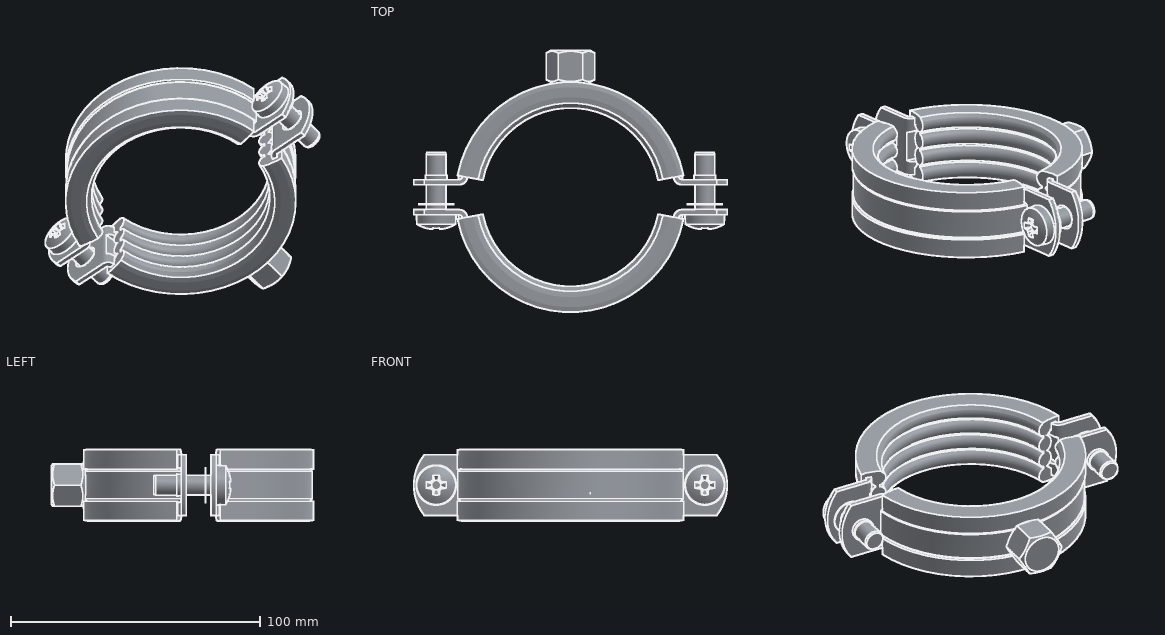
import cadquery as cq
import math


TOTAL_LENGTH = 125.9
STRAP_WIDTH = 24.4
STRAP_THICKNESS = 2.1
FLANGE_INNER_R = 42.0
FLANGE_OUTER_R = FLANGE_INNER_R + STRAP_THICKNESS

CHANNEL_RISE = 1.5
CHANNEL_ROOT_HALF_WIDTH = 7.0
HOLLOW_ROOT_HALF_WIDTH = 6.7
HOLLOW_FLOOR_HALF_WIDTH = 6.0

EAR_INNER_Y = 4.9
EAR_OUTER_Y = EAR_INNER_Y + STRAP_THICKNESS
EAR_STRAIGHT_X = 58.7
BEND_INNER_R = 1.5
BEND_OUTER_R = BEND_INNER_R + STRAP_THICKNESS

RUBBER_WIDTH = 29.0
RUBBER_OUTER_R = 46.2
RUBBER_END_ANGLE = 10.9
LIP_INNER_HALF_WIDTH = 6.4
BEVEL_DROP = 0.4
BEVEL_INNER_R = 40.2
BEAD_COUNT = 4
BEAD_PITCH = RUBBER_WIDTH / BEAD_COUNT
BEAD_TIP_R = 35.8
SHOULDER_R = 37.8
CHAMFERED_BEAD_REACH = 1.8
WEB_INNER_R = 38.3
WEB_OUTER_R = 40.0
GROOVE_HALF_WIDTH = 0.4
BACK_GROOVE_HALF_WIDTH = 2.0

SCREW_X = 53.9
SHANK_DIAMETER = 8.0
SHANK_TIP_DIAMETER = 7.4
SHANK_END_Y = 18.0
SHANK_CHAMFER_LENGTH = 0.9
HEAD_BASE_R = 8.0
HEAD_RIM_R = 7.8
HEAD_RIM_Y = -10.8
HEAD_TOP_Y = -13.1
RECESS_DEPTH = 2.3
RECESS_HALF_LENGTH = 4.7
RECESS_ARM_WIDTH = 3.0
RECESS_FLOOR_ARM_WIDTH = 1.3
RECESS_CORE_R = 2.5
RECESS_FLOOR_R = 1.9

COLLAR_DIAMETER = 9.0
COLLAR_BASE_DIAMETER = 8.5
COLLAR_HEIGHT = 1.8
ENTRY_DIAMETER = 9.8
ENTRY_DEPTH = 0.9

WASHER_DIAMETER = 14.0
WASHER_THICKNESS = 0.4
WASHER_Y = -2.8

NUT_ACROSS_FLATS = 17.0
NUT_ACROSS_CORNERS = NUT_ACROSS_FLATS / math.cos(math.radians(30))
NUT_BASE_Y = 45.3
NUT_TOP_Y = 59.0
NUT_TOP_CHAMFER_R = 7.7
NUT_BASE_CHAMFER_R = 6.5
NUT_CHAMFER_SLOPE = math.tan(math.radians(30))


def revolve_profile(profile):
    """Full turn of a closed profile about the vertical axis of its own plane."""
    return profile.close().revolve(360, (0, 0, 0), (0, 1, 0))


def above(y):
    """Block holding everything of the upper half beyond the given Y."""
    size = 2 * TOTAL_LENGTH
    return cq.Workplane("XY").box(size, size, size).translate((0, y + size / 2, 0))


def trapezoid_ring(root_r, root_half_width, tip_r, tip_half_width):
    """Ring about the pipe axis whose section narrows from root to tip."""
    section = [
        (root_r, -root_half_width),
        (tip_r, -tip_half_width),
        (tip_r, tip_half_width),
        (root_r, root_half_width),
    ]
    return revolve_profile(cq.Workplane("XZ").polyline(section))


def ear_plate():
    """Plate spanning both ears, with arc-shaped ends."""
    half_length = TOTAL_LENGTH / 2
    half_width = STRAP_WIDTH / 2
    return (
        cq.Workplane("XZ")
        .moveTo(-EAR_STRAIGHT_X, -half_width)
        .lineTo(EAR_STRAIGHT_X, -half_width)
        .threePointArc((half_length, 0), (EAR_STRAIGHT_X, half_width))
        .lineTo(-EAR_STRAIGHT_X, half_width)
        .threePointArc((-half_length, 0), (-EAR_STRAIGHT_X, -half_width))
        .close()
        .extrude(-STRAP_THICKNESS)
        .translate((0, EAR_INNER_Y, 0))
    )


def bend_edges(radius, y):
    """Selector for the two edges along Z where a cylinder meets the plane at Y = y."""
    x = math.sqrt(radius**2 - y**2)
    margin = 0.4

    def box_around(edge_x):
        low_corner = (edge_x - margin, y - margin, -STRAP_WIDTH)
        high_corner = (edge_x + margin, y + margin, STRAP_WIDTH)
        return cq.selectors.BoxSelector(low_corner, high_corner)

    return box_around(x) + box_around(-x)


def make_strap():
    bore = cq.Workplane("XY").circle(FLANGE_INNER_R).extrude(STRAP_WIDTH / 2, both=True)
    flanges = (
        cq.Workplane("XY")
        .circle(FLANGE_OUTER_R)
        .extrude(STRAP_WIDTH / 2, both=True)
        .intersect(above(EAR_INNER_Y))
    )
    strap = flanges.union(ear_plate()).cut(bore)
    strap = strap.edges(bend_edges(FLANGE_OUTER_R, EAR_OUTER_Y)).fillet(BEND_INNER_R)
    strap = strap.edges(bend_edges(FLANGE_INNER_R, EAR_INNER_Y)).fillet(BEND_OUTER_R)

    raised_band = trapezoid_ring(
        FLANGE_OUTER_R,
        CHANNEL_ROOT_HALF_WIDTH,
        FLANGE_OUTER_R + CHANNEL_RISE,
        CHANNEL_ROOT_HALF_WIDTH - CHANNEL_RISE,
    )
    hollow = trapezoid_ring(
        FLANGE_INNER_R,
        HOLLOW_ROOT_HALF_WIDTH,
        FLANGE_INNER_R + CHANNEL_RISE,
        HOLLOW_FLOOR_HALF_WIDTH,
    )
    strap = strap.union(raised_band.intersect(above(EAR_INNER_Y + STRAP_THICKNESS / 2)))
    return strap.cut(hollow)


def make_rubber():
    half_width = RUBBER_WIDTH / 2
    strap_edge = STRAP_WIDTH / 2
    shoulder = half_width - BEVEL_DROP

    full_reach = BEAD_PITCH / 2 - GROOVE_HALF_WIDTH
    bead_depth = WEB_INNER_R - BEAD_TIP_R
    bead_r = (full_reach**2 + bead_depth**2) / (2 * bead_depth)
    chamfered_r = BEAD_TIP_R + bead_r - math.sqrt(bead_r**2 - CHAMFERED_BEAD_REACH**2)

    profile = (
        cq.Workplane("XZ").moveTo(BEVEL_INNER_R, -half_width).lineTo(SHOULDER_R, -shoulder)
    )
    for bead in range(BEAD_COUNT):
        centre = (bead + 0.5) * BEAD_PITCH - half_width
        start = (WEB_INNER_R, centre - full_reach)
        end = (WEB_INNER_R, centre + full_reach)
        if bead == 0:
            start = (chamfered_r, centre - CHAMFERED_BEAD_REACH)
        if bead == BEAD_COUNT - 1:
            end = (chamfered_r, centre + CHAMFERED_BEAD_REACH)
        profile = profile.lineTo(*start).threePointArc((BEAD_TIP_R, centre), end)
    profile = profile.lineTo(SHOULDER_R, shoulder)

    profile = (
        profile.lineTo(BEVEL_INNER_R, half_width)
        .lineTo(FLANGE_OUTER_R, half_width)
        .lineTo(RUBBER_OUTER_R, shoulder)
        .lineTo(RUBBER_OUTER_R, LIP_INNER_HALF_WIDTH)
        .lineTo(FLANGE_OUTER_R, LIP_INNER_HALF_WIDTH)
        .lineTo(FLANGE_OUTER_R, strap_edge)
        .lineTo(FLANGE_INNER_R, strap_edge)
        .lineTo(FLANGE_INNER_R, BEAD_PITCH + BACK_GROOVE_HALF_WIDTH)
    )

    profile = profile.lineTo(WEB_OUTER_R, BEAD_PITCH)
    for centre in (BEAD_PITCH / 2, -BEAD_PITCH / 2):
        profile = profile.threePointArc(
            (FLANGE_INNER_R, centre), (WEB_OUTER_R, centre - BEAD_PITCH / 2)
        )

    profile = (
        profile.lineTo(FLANGE_INNER_R, -BEAD_PITCH - BACK_GROOVE_HALF_WIDTH)
        .lineTo(FLANGE_INNER_R, -strap_edge)
        .lineTo(FLANGE_OUTER_R, -strap_edge)
        .lineTo(FLANGE_OUTER_R, -LIP_INNER_HALF_WIDTH)
        .lineTo(RUBBER_OUTER_R, -LIP_INNER_HALF_WIDTH)
        .lineTo(RUBBER_OUTER_R, -shoulder)
        .lineTo(FLANGE_OUTER_R, -half_width)
    )
    sweep = 180 - 2 * RUBBER_END_ANGLE
    ring = profile.close().revolve(sweep, (0, 0, 0), (0, 1, 0))
    return ring.rotate((0, 0, 0), (0, 0, 1), RUBBER_END_ANGLE)


def make_half():
    """Upper half: the strap with its rubber lining."""
    return make_strap().union(make_rubber())


def make_recess():
    """Cross recess whose arms and round core narrow towards a flat floor."""
    arm = (
        cq.Workplane("XZ", origin=(0, HEAD_TOP_Y, 0))
        .rect(2 * RECESS_HALF_LENGTH, RECESS_ARM_WIDTH)
        .workplane(offset=-RECESS_DEPTH)
        .rect(2 * RECESS_FLOOR_R, RECESS_FLOOR_ARM_WIDTH)
        .loft()
    )
    floor_y = HEAD_TOP_Y + RECESS_DEPTH
    core = revolve_profile(
        cq.Workplane("XY")
        .moveTo(0, HEAD_TOP_Y)
        .lineTo(RECESS_CORE_R, HEAD_TOP_Y)
        .lineTo(RECESS_FLOOR_R, floor_y)
        .lineTo(0, floor_y)
    )
    return arm.union(arm.rotate((0, 0, 0), (0, 1, 0), 90)).union(core)


def make_screw():
    shank_r = SHANK_DIAMETER / 2
    dome_r = (HEAD_RIM_R**2 + (HEAD_RIM_Y - HEAD_TOP_Y) ** 2) / (2 * (HEAD_RIM_Y - HEAD_TOP_Y))
    dome_mid_x = HEAD_RIM_R / 2
    dome_mid_y = HEAD_TOP_Y + dome_r - math.sqrt(dome_r**2 - dome_mid_x**2)
    body = revolve_profile(
        cq.Workplane("XY")
        .moveTo(0, SHANK_END_Y)
        .lineTo(SHANK_TIP_DIAMETER / 2, SHANK_END_Y)
        .lineTo(shank_r, SHANK_END_Y - SHANK_CHAMFER_LENGTH)
        .lineTo(shank_r, -EAR_OUTER_Y)
        .lineTo(HEAD_BASE_R, -EAR_OUTER_Y)
        .lineTo(HEAD_RIM_R, HEAD_RIM_Y)
        .threePointArc((dome_mid_x, dome_mid_y), (0, HEAD_TOP_Y))
    )
    washer = (
        cq.Workplane("XZ", origin=(0, WASHER_Y, 0))
        .circle(WASHER_DIAMETER / 2)
        .extrude(WASHER_THICKNESS / 2, both=True)
    )
    collar = revolve_profile(
        cq.Workplane("XY")
        .moveTo(0, EAR_OUTER_Y)
        .lineTo(COLLAR_BASE_DIAMETER / 2, EAR_OUTER_Y)
        .lineTo(COLLAR_DIAMETER / 2, EAR_OUTER_Y + COLLAR_HEIGHT)
        .lineTo(0, EAR_OUTER_Y + COLLAR_HEIGHT)
    )
    return body.cut(make_recess()).union(washer).union(collar)


def make_entry():
    """Conical countersink around the shank on the inner face of the upper ear."""
    return revolve_profile(
        cq.Workplane("XY")
        .moveTo(0, EAR_INNER_Y)
        .lineTo(ENTRY_DIAMETER / 2, EAR_INNER_Y)
        .lineTo(SHANK_DIAMETER / 2, EAR_INNER_Y + ENTRY_DEPTH)
        .lineTo(0, EAR_INNER_Y + ENTRY_DEPTH)
    )


def make_nut():
    """Hexagon nut along Y, with corners at +-X and both ends turned to a cone."""
    corner_r = NUT_ACROSS_CORNERS / 2
    hexagon = (
        cq.Workplane("XZ", origin=(0, NUT_BASE_Y, 0))
        .polygon(6, NUT_ACROSS_CORNERS)
        .extrude(NUT_BASE_Y - NUT_TOP_Y)
    )
    turned = revolve_profile(
        cq.Workplane("XY")
        .moveTo(0, NUT_BASE_Y)
        .lineTo(NUT_BASE_CHAMFER_R, NUT_BASE_Y)
        .lineTo(corner_r, NUT_BASE_Y + (corner_r - NUT_BASE_CHAMFER_R) * NUT_CHAMFER_SLOPE)
        .lineTo(corner_r, NUT_TOP_Y - (corner_r - NUT_TOP_CHAMFER_R) * NUT_CHAMFER_SLOPE)
        .lineTo(NUT_TOP_CHAMFER_R, NUT_TOP_Y)
        .lineTo(0, NUT_TOP_Y)
    )
    return hexagon.intersect(turned)


upper_half = make_half()
lower_half = upper_half.mirror("XZ")
upper_half = upper_half.union(make_nut())

for side in (-1, 1):
    upper_half = upper_half.cut(make_entry().translate((side * SCREW_X, 0, 0)))

result = upper_half
for side in (-1, 1):
    result = result.union(make_screw().translate((side * SCREW_X, 0, 0)))
result = result.union(lower_half)